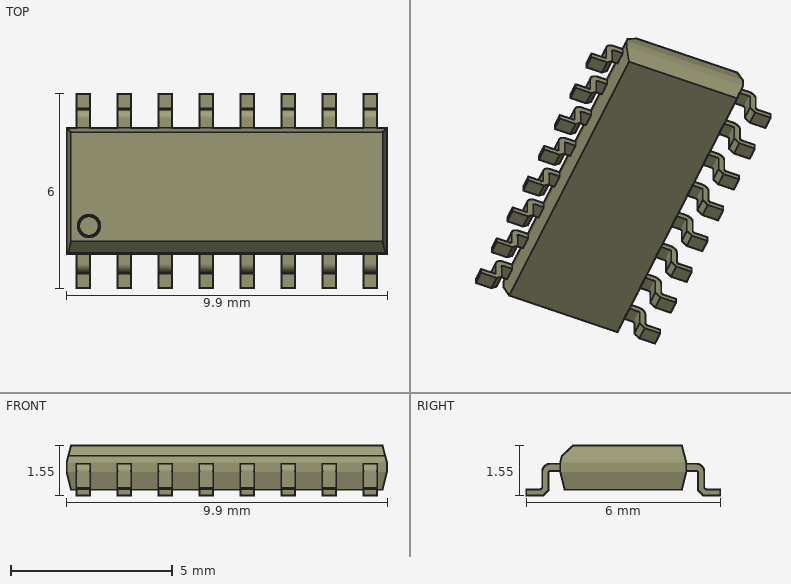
import cadquery as cq

BODY_LENGTH = 9.9
BODY_WIDTH = 3.9
STANDOFF = 0.18
BELT_BOTTOM = 0.73
BELT_TOP = 1.03
BODY_TOP = 1.55
DRAFT_INSET = 0.14

BEVEL_INSET = 0.4
BEVEL_BOTTOM = 1.23

DIMPLE_FROM_END = 0.69
DIMPLE_FROM_SIDE = 0.87
DIMPLE_TOP_DIAMETER = 0.7
DIMPLE_FLOOR_DIAMETER = 0.59
DIMPLE_DEPTH = 0.1

LEADS_PER_SIDE = 8
LEAD_PITCH = 1.27
LEAD_WIDTH = 0.43
LEAD_THICKNESS = 0.2
ROOT_THICKNESS = 0.23
LEAD_SPAN = 6.0
LEAD_TOP = 0.99
FOOT_LENGTH = 0.495
SHOULDER_RADIUS = 0.25
INNER_SHOULDER_RADIUS = 0.05
HEEL_BEVEL = 0.17
TOE_BEVEL = 0.05
LEAD_EMBED = 0.1


def tapered_half(belt_z, face_z):
    """Half of the body, narrowing from the belt to its flat face."""
    return (
        cq.Workplane("XY", origin=(0, 0, belt_z))
        .rect(BODY_LENGTH, BODY_WIDTH)
        .workplane(offset=face_z - belt_z)
        .rect(BODY_LENGTH - 2 * DRAFT_INSET, BODY_WIDTH - 2 * DRAFT_INSET)
        .loft(ruled=True)
    )


def make_body():
    belt = (
        cq.Workplane("XY", origin=(0, 0, BELT_BOTTOM))
        .rect(BODY_LENGTH, BODY_WIDTH)
        .extrude(BELT_TOP - BELT_BOTTOM)
    )
    lower = tapered_half(BELT_BOTTOM, STANDOFF)
    upper = tapered_half(BELT_TOP, BODY_TOP)
    return belt.union(lower).union(upper)


def make_bevel_cutter():
    """Wedge that removes the top -Y edge along the whole body."""
    side_y = -BODY_WIDTH / 2
    draft_slope = DRAFT_INSET / (BODY_TOP - BELT_TOP)
    low_y = side_y + draft_slope * (BEVEL_BOTTOM - BELT_TOP)
    high_y = side_y + BEVEL_INSET
    return (
        cq.Workplane("YZ")
        .polyline([(low_y, BEVEL_BOTTOM), (high_y, BODY_TOP), (side_y, BODY_TOP), (side_y, BEVEL_BOTTOM)])
        .close()
        .extrude(BODY_LENGTH / 2, both=True)
    )


def make_dimple_cutter():
    center_x = -BODY_LENGTH / 2 + DIMPLE_FROM_END
    center_y = -BODY_WIDTH / 2 + DIMPLE_FROM_SIDE
    return (
        cq.Workplane("XY", origin=(center_x, center_y, BODY_TOP))
        .circle(DIMPLE_TOP_DIAMETER / 2)
        .workplane(offset=-DIMPLE_DEPTH)
        .circle(DIMPLE_FLOOR_DIAMETER / 2)
        .loft()
    )


def make_lead():
    """One +Y lead centered on X = 0: rounded shoulder, upright, beveled heel and flat foot."""
    root_y = BODY_WIDTH / 2 - LEAD_EMBED
    tip_y = LEAD_SPAN / 2
    outer_y = tip_y - FOOT_LENGTH
    inner_y = outer_y - LEAD_THICKNESS
    underside = LEAD_TOP - ROOT_THICKNESS
    return (
        cq.Workplane("YZ")
        .moveTo(root_y, LEAD_TOP)
        .lineTo(outer_y - SHOULDER_RADIUS, LEAD_TOP)
        .radiusArc((outer_y, LEAD_TOP - SHOULDER_RADIUS), SHOULDER_RADIUS)
        .lineTo(outer_y, LEAD_THICKNESS + TOE_BEVEL)
        .lineTo(outer_y + TOE_BEVEL, LEAD_THICKNESS)
        .lineTo(tip_y, LEAD_THICKNESS)
        .lineTo(tip_y, 0)
        .lineTo(inner_y + HEEL_BEVEL, 0)
        .lineTo(inner_y, HEEL_BEVEL)
        .lineTo(inner_y, underside - INNER_SHOULDER_RADIUS)
        .radiusArc((inner_y - INNER_SHOULDER_RADIUS, underside), -INNER_SHOULDER_RADIUS)
        .lineTo(root_y, underside)
        .close()
        .extrude(LEAD_WIDTH / 2, both=True)
    )


result = make_body().cut(make_bevel_cutter()).cut(make_dimple_cutter())

back_lead = make_lead()
front_lead = back_lead.mirror("XZ")
for index in range(LEADS_PER_SIDE):
    lead_x = (index - (LEADS_PER_SIDE - 1) / 2) * LEAD_PITCH
    for lead in (back_lead, front_lead):
        result = result.union(lead.translate((lead_x, 0, 0)))